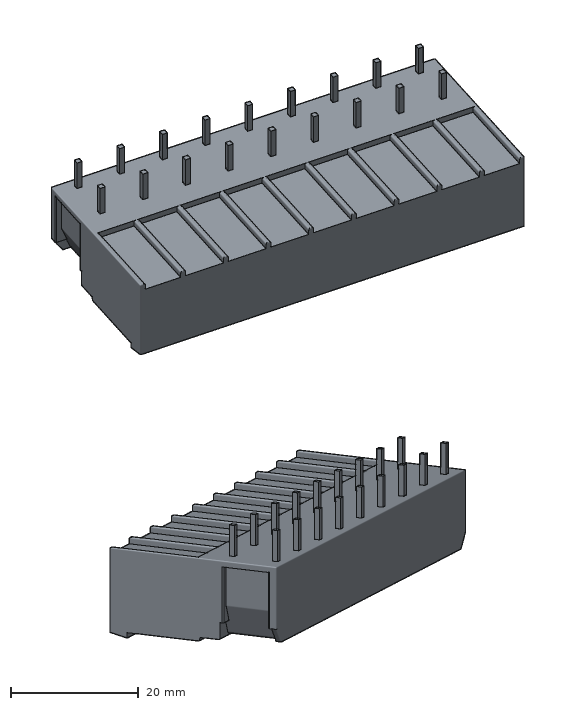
import cadquery as cq

LENGTH = 68.6
DEPTH = 29.0
BODY_TOP = 14.25
POLES = 9
PITCH = LENGTH / POLES
HALF_LENGTH = LENGTH / 2
EDGE_RADIUS = 0.2

FRONT_BOTTOM = 1.85
FRONT_DEPTH = 9.9
STEP_BOTTOM = 1.5
STEP_END = 13.5
STEP_RUN = 0.3
MAIN_BOTTOM = 0.9
LIP_START = 25.9
LIP_END_HEIGHT = 0.6

PIN_SIZE = 0.9
PIN_HEIGHT = 5.0
PIN_ROOT = 0.7
PIN_ROWS = 2
FIRST_PIN_X = 1.9
PIN_ROW_SPACING = 7.5

POCKET_START = 13.9
POCKET_DEPTH = 1.0
RIB_WIDTH = 0.9
RIB_RADIUS = 0.3

RECESS_START = 1.5
RECESS_END = 9.25
RECESS_TOP = 13.3
RECESS_DEPTH = 1.0
SLOPE_TOP = 6.8
SLOPE_DEPTH = 3.0
SLOPE_RADIUS = 0.55
FOOT_RADIUS = 0.55
END_WALL = 0.9

BEVEL_TOP = 4.25
BEVEL_SETBACK = 1.65


def pole_y(index):
    return -HALF_LENGTH + (index + 0.5) * PITCH


def end_prism(points, x_min, x_max):
    """Extrude a (distance in from the -Y end, Z) outline along X."""
    plane = cq.Workplane("YZ", origin=(x_min, -HALF_LENGTH, 0))
    return plane.polyline(points).close().extrude(x_max - x_min)


def cut_both_ends(body, cutter):
    return body.cut(cutter).cut(cutter.mirror("XZ"))


def make_body():
    outline = [
        (0, BODY_TOP),
        (0, FRONT_BOTTOM),
        (FRONT_DEPTH, FRONT_BOTTOM),
        (FRONT_DEPTH, STEP_BOTTOM),
        (STEP_END - STEP_RUN, STEP_BOTTOM),
        (STEP_END, MAIN_BOTTOM),
        (LIP_START, MAIN_BOTTOM),
        (LIP_START, 0),
        (DEPTH, LIP_END_HEIGHT),
        (DEPTH, BODY_TOP),
    ]
    body = cq.Workplane("XZ").polyline(outline).close().extrude(HALF_LENGTH, both=True)
    step_edge = cq.selectors.NearestToPointSelector((FRONT_DEPTH, 0, STEP_BOTTOM))
    return body.edges(step_edge).fillet(EDGE_RADIUS)


def bevel_cutter():
    outline = [(0, BEVEL_TOP), (BEVEL_SETBACK, FRONT_BOTTOM), (0, FRONT_BOTTOM)]
    return end_prism(outline, 0, FRONT_DEPTH)


def round_body(body):
    """Round the upright corners, the beveled front corners and the top rim except its +X side."""
    body = body.faces(">X").edges("|Z").fillet(EDGE_RADIUS)
    body = body.faces("<X").edges("not (<Z or >Z)").fillet(EDGE_RADIUS)
    return body.faces(">Z").edges("not >X").fillet(EDGE_RADIUS)


def top_pocket(index):
    y_min = pole_y(index) - PITCH / 2 + (RIB_WIDTH if index == 0 else RIB_WIDTH / 2)
    y_max = pole_y(index) + PITCH / 2 - (RIB_WIDTH if index == POLES - 1 else RIB_WIDTH / 2)
    floor = BODY_TOP - POCKET_DEPTH
    shoulder = BODY_TOP - RIB_RADIUS
    section = (
        cq.Workplane("YZ", origin=(POCKET_START, 0, 0))
        .moveTo(y_min, floor)
        .lineTo(y_max, floor)
        .lineTo(y_max, shoulder)
        .radiusArc((y_max + RIB_RADIUS, BODY_TOP), RIB_RADIUS)
        .lineTo(y_min - RIB_RADIUS, BODY_TOP)
        .radiusArc((y_min, shoulder), RIB_RADIUS)
        .close()
    )
    return section.extrude(DEPTH - POCKET_START)


def recess_cutter():
    """Shallow recess with rounded side lips, widening below the top of the bevel into a sloped one."""
    mouth = (
        cq.Workplane("XY", origin=(0, -HALF_LENGTH, BEVEL_TOP))
        .moveTo(RECESS_START - EDGE_RADIUS, 0)
        .radiusArc((RECESS_START, EDGE_RADIUS), EDGE_RADIUS)
        .lineTo(RECESS_START, RECESS_DEPTH)
        .lineTo(RECESS_END, RECESS_DEPTH)
        .lineTo(RECESS_END, EDGE_RADIUS)
        .radiusArc((RECESS_END + EDGE_RADIUS, 0), EDGE_RADIUS)
        .close()
        .extrude(RECESS_TOP - BEVEL_TOP)
    )
    slope_run = (SLOPE_DEPTH - RECESS_DEPTH) / (SLOPE_TOP - FRONT_BOTTOM)
    depth_at_bevel = RECESS_DEPTH + slope_run * (SLOPE_TOP - BEVEL_TOP)
    slope_outline = [
        (EDGE_RADIUS, SLOPE_TOP),
        (RECESS_DEPTH, SLOPE_TOP),
        (depth_at_bevel, BEVEL_TOP),
        (EDGE_RADIUS, BEVEL_TOP),
    ]
    lower_outline = [
        (0, BEVEL_TOP),
        (depth_at_bevel, BEVEL_TOP),
        (SLOPE_DEPTH, FRONT_BOTTOM),
        (0, FRONT_BOTTOM),
    ]
    slope = end_prism(slope_outline, RECESS_START, RECESS_END)
    lower = end_prism(lower_outline, END_WALL, FRONT_DEPTH)
    return mouth.union(slope).union(lower)


def round_slope(body):
    """Round the top and the foot of the sloped recess face at both ends."""
    middle_x = (RECESS_START + RECESS_END) / 2
    for side in (-1, 1):
        top = (middle_x, side * (HALF_LENGTH - RECESS_DEPTH), SLOPE_TOP)
        foot = (middle_x, side * (HALF_LENGTH - SLOPE_DEPTH), FRONT_BOTTOM)
        body = body.edges(cq.selectors.NearestToPointSelector(top)).fillet(SLOPE_RADIUS)
        body = body.edges(cq.selectors.NearestToPointSelector(foot)).fillet(FOOT_RADIUS)
    return body


def pins():
    posts = cq.Workplane("XY", origin=(0, 0, BODY_TOP - PIN_ROOT))
    centres = [
        (FIRST_PIN_X + row * PIN_ROW_SPACING, pole_y(index))
        for row in range(PIN_ROWS)
        for index in range(POLES)
    ]
    return posts.pushPoints(centres).rect(PIN_SIZE, PIN_SIZE).extrude(PIN_HEIGHT + PIN_ROOT)


result = round_body(cut_both_ends(make_body(), bevel_cutter()))
result = round_slope(cut_both_ends(result, recess_cutter()))
for pole in range(POLES):
    result = result.cut(top_pocket(pole))
result = result.union(pins())